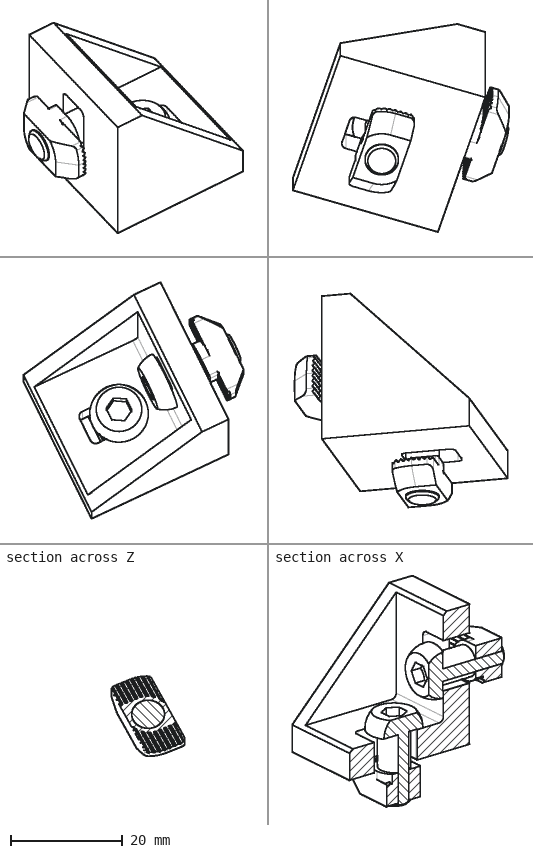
import cadquery as cq
import math

overall_size = 35.2

bracket_width = 28.0
bracket_leg = 27.2
plate_end = 5.28
plate_thickness = 6.0
pocket_width = 22.0
pocket_fillet = 1.0
slot_width = 6.4
slot_top = 21.72
slot_corner_radius = 1.0

screw_offset = 15.0
screw_reach = overall_size - bracket_leg
shank_diameter = 6.0
tip_diameter = 5.0
head_radius = 5.25
head_height = 3.3
socket_flats = 4.0
socket_depth = 2.08
socket_point_angle = 118

collar_level = 1.25
flange_level = 2.78
taper_level = 4.33
nut_end_level = 7.3
nut_width = 7.67
collar_small_radius = 0.5
collar_large_radius = 4.0
flange_length = 16.0
flange_end_length = 10.0
flange_corner_radius = 1.0
tooth_pitch = 1.0
tooth_depth = tooth_pitch / 2

slot_bottom = screw_offset - slot_width / 2


def triangle_prism(corner, slope_sum, width):
    """Prism along X over the triangle from (corner, corner) to the line Y + Z = slope_sum."""
    far = slope_sum - corner
    return (
        cq.Workplane("YZ")
        .polyline([(corner, corner), (far, corner), (corner, far)])
        .close()
        .extrude(width / 2, both=True)
    )


def make_slot_cutter():
    """Rounded rectangular slot through the bottom plate."""
    length = slot_top - slot_bottom
    return (
        cq.Workplane("XY")
        .center(0, slot_bottom + length / 2)
        .rect(slot_width, length)
        .extrude(plate_thickness)
        .edges("|Z")
        .fillet(slot_corner_radius)
    )


def make_bracket():
    slope_sum = bracket_leg + plate_end
    outline = [
        (0, 0),
        (bracket_leg, 0),
        (bracket_leg, plate_end),
        (plate_end, bracket_leg),
        (0, bracket_leg),
    ]
    block = cq.Workplane("YZ").polyline(outline).close().extrude(bracket_width / 2, both=True)
    pocket = (
        triangle_prism(plate_thickness, slope_sum, pocket_width)
        .edges("|X and <Y and <Z")
        .fillet(pocket_fillet)
    )
    floor_slot = make_slot_cutter()
    wall_slot = floor_slot.mirror("XZ").rotate((0, 0, 0), (1, 0, 0), -90)
    return block.cut(pocket).cut(floor_slot).cut(wall_slot)


def make_screw():
    """Screw on the Z axis, with its head seated on top of a plate whose outer face is at Z = 0."""
    shank_radius = shank_diameter / 2
    tip_radius = tip_diameter / 2
    tip_chamfer = shank_radius - tip_radius
    head_top = plate_thickness + head_height
    crown_radius = math.sqrt(head_radius**2 - head_height**2)
    arc_angle = math.asin(head_height / head_radius) / 2
    arc_middle = (
        head_radius * math.cos(arc_angle),
        plate_thickness + head_radius * math.sin(arc_angle),
    )
    body = (
        cq.Workplane("XZ")
        .moveTo(0, -screw_reach)
        .lineTo(tip_radius, -screw_reach)
        .lineTo(shank_radius, -screw_reach + tip_chamfer)
        .lineTo(shank_radius, plate_thickness)
        .lineTo(head_radius, plate_thickness)
        .threePointArc(arc_middle, (crown_radius, head_top))
        .lineTo(0, head_top)
        .close()
        .revolve(360, (0, 0, 0), (0, 1, 0))
    )
    return body.cut(make_socket_cutter(head_top))


def make_socket_cutter(head_top):
    """Hexagonal recess whose floor is a drill point."""
    corner_radius = socket_flats / math.sqrt(3)
    point_depth = corner_radius / math.tan(math.radians(socket_point_angle / 2))
    floor_level = head_top - socket_depth
    point_level = floor_level - point_depth
    drill = (
        cq.Workplane("XZ")
        .polyline([
            (0, point_level),
            (corner_radius, floor_level),
            (corner_radius, head_top),
            (0, head_top),
        ])
        .close()
        .revolve(360, (0, 0, 0), (0, 1, 0))
    )
    hexagon = (
        cq.Workplane("XY", origin=(0, 0, point_level))
        .polygon(6, 2 * corner_radius)
        .extrude(head_top - point_level)
    )
    return hexagon.intersect(drill)


def make_flange_form():
    """Bar along X; each end is flat on one side of the axis and rounded about it on the other."""
    outer_radius = flange_length / 2
    height = nut_end_level - flange_level
    base = cq.Workplane("XY", origin=(0, 0, -nut_end_level))
    flat_quarter = base.rect(outer_radius, nut_width / 2, centered=False).extrude(height)
    round_quarter = flat_quarter.mirror("XZ").intersect(base.circle(outer_radius).extrude(height))
    half = flat_quarter.union(round_quarter)
    return half.union(half.rotate((0, 0, 0), (0, 0, 1), 180)).clean()


def make_flange():
    """Long part of the nut, tapered outward and toothed on the face towards the bracket."""
    form = make_flange_form()
    rounded = form.edges("|Z").edges("<Y or >Y").fillet(flange_corner_radius)
    taper_height = nut_end_level - taper_level
    taper_inset = (flange_length - flange_end_length) / 2
    tapered = form.faces("<Z").edges("not |X").chamfer(taper_height, taper_inset)
    return cut_teeth(rounded.intersect(tapered))


def cut_teeth(flange):
    """Cut V grooves along X, leaving a tooth crest on the middle line of the nut."""
    grooves_per_side = math.ceil(nut_width / 2 / tooth_pitch)
    for index in range(-grooves_per_side, grooves_per_side):
        crest = index * tooth_pitch
        groove = (
            cq.Workplane("YZ")
            .polyline([
                (crest, -flange_level),
                (crest + tooth_pitch / 2, -flange_level - tooth_depth),
                (crest + tooth_pitch, -flange_level),
            ])
            .close()
            .extrude(flange_length / 2, both=True)
        )
        flange = flange.cut(groove)
    return flange


def make_nut():
    """Slot nut on the Z axis, below a bracket face at Z = 0."""
    collar = (
        cq.Workplane("XY", origin=(0, 0, -nut_end_level))
        .rect(nut_width, nut_width)
        .extrude(nut_end_level - collar_level)
    )
    collar = collar.edges("|Z").edges("(<X and <Y) or (>X and >Y)").fillet(collar_small_radius)
    collar = collar.edges("|Z").edges("(<X and >Y) or (>X and <Y)").fillet(collar_large_radius)
    bore = cq.Workplane("XY").circle(shank_diameter / 2).extrude(-nut_end_level)
    return make_flange().union(collar).cut(bore)


def to_floor(shape):
    """Move a shape made on the Z axis to the screw position in the bottom plate."""
    return shape.translate((0, screw_offset, 0))


def to_wall(shape):
    """Turn a shape made for the bottom plate (outward -Z) to the front plate (outward -Y)."""
    return shape.rotate((0, 0, 0), (1, 0, 0), -90).translate((0, 0, screw_offset))


bracket = make_bracket()
screw = make_screw()
nut = make_nut()

bodies = [bracket.solids().val()]
for place in (to_floor, to_wall):
    bodies.append(place(screw).solids().val())
    bodies.append(place(nut).solids().val())

result = cq.Compound.makeCompound(bodies)